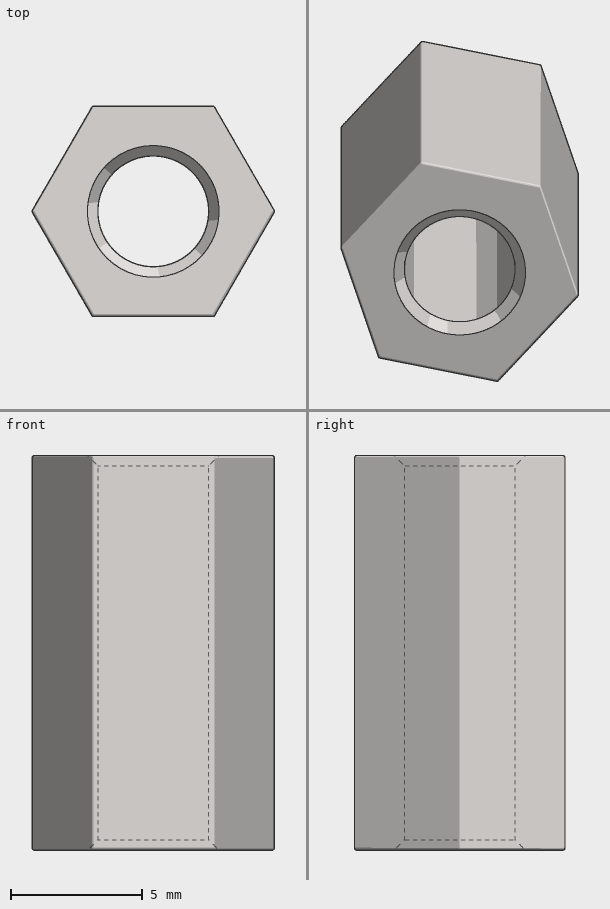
import cadquery as cq
import math

across_flats = 8.0
length = 15.0
thread_diameter = 5.0
thread_pitch = 0.8
edge_radius = 0.1

bore_diameter = thread_diameter - thread_pitch
countersink_depth = (thread_diameter - bore_diameter) / 2
across_corners = across_flats / math.cos(math.pi / 6)


def hex_body():
    """Hexagonal bar with corners on the X axis and every outer edge rounded."""
    bar = cq.Workplane("XY").polygon(6, across_corners).extrude(length)
    return bar.edges().fillet(edge_radius)


def bore_cutter():
    """Through bore that opens to the thread diameter at both ends."""
    bore_radius = bore_diameter / 2
    mouth_radius = thread_diameter / 2
    profile = [
        (0, 0),
        (mouth_radius, 0),
        (bore_radius, countersink_depth),
        (bore_radius, length - countersink_depth),
        (mouth_radius, length),
        (0, length),
    ]
    return cq.Workplane("XZ").polyline(profile).close().revolve(360, (0, 0), (0, 1))


result = hex_body().cut(bore_cutter())